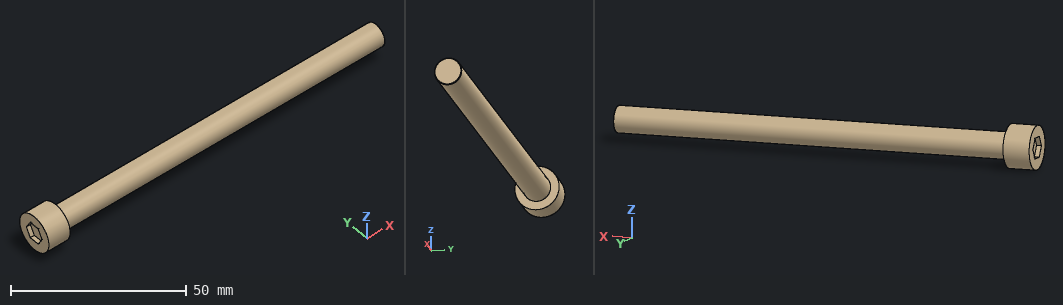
import cadquery as cq
import math

thread_diameter = 8.0
shank_length = 120.0
head_diameter = 13.0
head_height = thread_diameter
hexagon_sides = 6
socket_across_flats = 6.0
socket_depth = 1.5
tip_chamfer = 0.2

head_face_x = -head_height


def make_head():
    return cq.Workplane("YZ", origin=(head_face_x, 0, 0)).circle(head_diameter / 2).extrude(head_height)


def make_shank():
    shank = cq.Workplane("YZ").circle(thread_diameter / 2).extrude(shank_length)
    return shank.faces(">X").chamfer(tip_chamfer)


def make_hex_socket():
    across_corners = socket_across_flats / math.cos(math.pi / hexagon_sides)
    return (
        cq.Workplane("YZ", origin=(head_face_x, 0, 0))
        .polygon(hexagon_sides, across_corners)
        .extrude(socket_depth)
    )


result = make_head().union(make_shank()).cut(make_hex_socket())